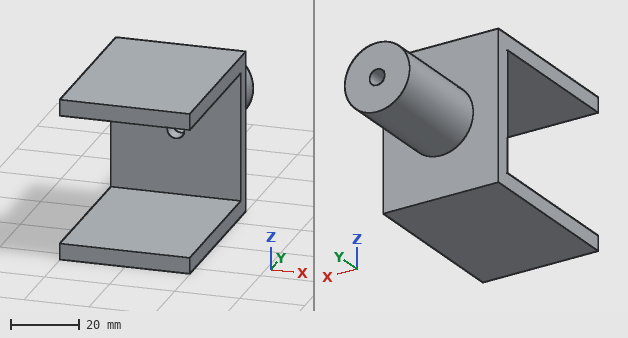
import cadquery as cq

total_length = 90.0
bracket_width = 40.0
bracket_height = 50.0
bracket_length = 55.0
wall = 5.0
stem_diameter = 22.5
bore_diameter = 5.2

stem_length = total_length - bracket_length
web_front = bracket_length - wall
gap_height = bracket_height - 2 * wall


def cylinder_along_y(diameter, start, length):
    """Cylinder on the Y axis, from Y = start to Y = start + length."""
    radius = diameter / 2
    return cq.Workplane("XZ", origin=(0, start, 0)).circle(radius).extrude(-length)


def box_from_open_end(length, height):
    """Box of the bracket's width, centred on the Y axis and starting at Y = 0."""
    return cq.Workplane("XY").box(bracket_width, length, height, centered=(True, False, True))


def make_bracket():
    """U-shaped bracket with a bore through the middle of its web."""
    outer = box_from_open_end(bracket_length, bracket_height)
    gap = box_from_open_end(web_front, gap_height)
    bore = cylinder_along_y(bore_diameter, web_front, wall)
    return outer.cut(gap).cut(bore)


def make_stem():
    """Round stem seated on the back of the web, with the bore running through it."""
    rod = cylinder_along_y(stem_diameter, bracket_length, stem_length)
    bore = cylinder_along_y(bore_diameter, bracket_length, stem_length)
    return rod.cut(bore)


bracket = make_bracket().solids()
stem = make_stem().solids()

result = cq.Compound.makeCompound([bracket.val(), stem.val()])